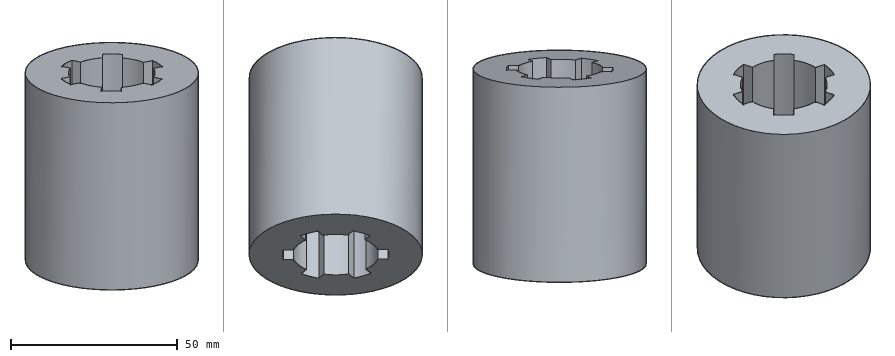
import cadquery as cq

length = 60.0
outer_diameter = 52.0
bore_diameter = 26.0
groove_root_diameter = 32.0
groove_width = 6.0
groove_count = 6
first_groove_angle = 90.0


def spline_groove(angle):
    """Straight-sided groove cutter, from the axis to the round groove root."""
    root_radius = groove_root_diameter / 2
    root_cylinder = cq.Workplane("XY").circle(root_radius).extrude(length)
    bar = cq.Workplane("XY").center(root_radius / 2, 0).rect(root_radius, groove_width).extrude(length)
    return bar.intersect(root_cylinder).rotate((0, 0, 0), (0, 0, 1), angle)


result = cq.Workplane("XY").circle(outer_diameter / 2).circle(bore_diameter / 2).extrude(length)

for index in range(groove_count):
    result = result.cut(spline_groove(first_groove_angle + index * 360 / groove_count))